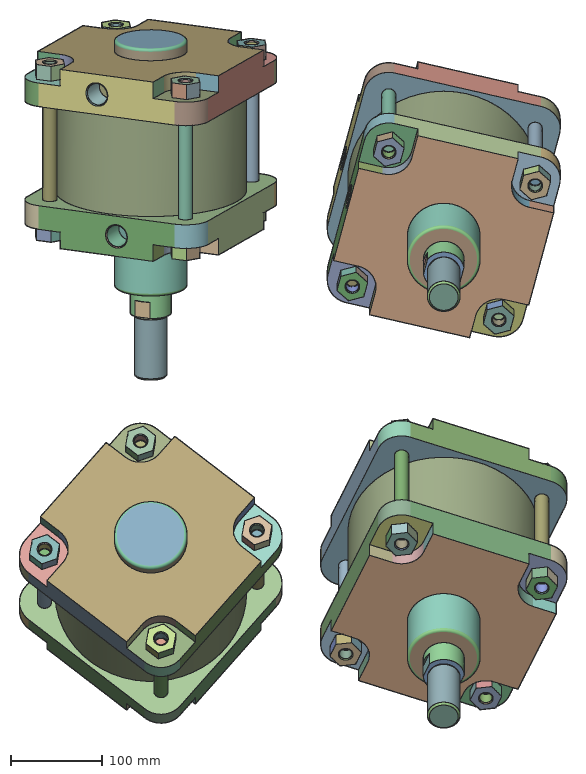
import cadquery as cq

TOTAL_HEIGHT = 384.0
END_BOSS_HEIGHT = 13.0
CAP_THICKNESS = 45.7
TUBE_LENGTH = 113.0
NECK_LENGTH = 64.5

REAR_CAP_TOP = TOTAL_HEIGHT - END_BOSS_HEIGHT
REAR_CAP_BOTTOM = REAR_CAP_TOP - CAP_THICKNESS
FRONT_CAP_TOP = REAR_CAP_BOTTOM - TUBE_LENGTH
FRONT_CAP_BOTTOM = FRONT_CAP_TOP - CAP_THICKNESS
NECK_BOTTOM = FRONT_CAP_BOTTOM - NECK_LENGTH

CAP_SIDE = 220.0
ROD_SPACING = 165.0
CORNER_RADIUS = (CAP_SIDE - ROD_SPACING) / 2
POCKET_SIDE = 53.5
POCKET_RADIUS = 26.0
POCKET_DEPTH = 19.0
BOSS_DIAMETER = 80.0
BOSS_FILLET = 3.0

PORT_DIAMETER = 24.0
PORT_CHAMFER = 1.0
PORT_DEPTH = 30.7
PORT_OFFSET = 12.0

TUBE_DIAMETER = 210.0
BORE_DIAMETER = 200.0

TIE_ROD_DIAMETER = 15.7
HEAD_ACROSS_FLATS = 30.5
HEAD_ACROSS_CORNERS = HEAD_ACROSS_FLATS * 2 / 3**0.5
HEAD_HEIGHT = 17.0
SOCKET_DIAMETER = 14.0
SOCKET_CHAMFER = 1.0

COLLAR_DIAMETER = 45.0
COLLAR_BOTTOM = 72.0
WRENCH_ACROSS_FLATS = 41.0
WRENCH_FLAT_HEIGHT = 18.5
GROOVE_DIAMETER = 33.0
THREAD_DIAMETER = 36.0
THREAD_LENGTH = 69.0
THREAD_CHAMFER = 2.3


def cylinder(diameter, bottom, top):
    """Upright cylinder on the Z axis between two heights."""
    return cq.Workplane("XY").workplane(offset=bottom).circle(diameter / 2).extrude(top - bottom)


def corner_points():
    """Centres of the four tie rods."""
    half = ROD_SPACING / 2
    return [(x, y) for x in (-half, half) for y in (-half, half)]


def cap_plate(bottom, pocket_bottom):
    """Square plate with rounded corners, a pocket at each corner and tie rod holes."""
    plate = (
        cq.Workplane("XY")
        .workplane(offset=bottom)
        .rect(CAP_SIDE, CAP_SIDE)
        .extrude(CAP_THICKNESS)
        .edges("|Z")
        .fillet(CORNER_RADIUS)
    )
    pockets = (
        cq.Workplane("XY")
        .workplane(offset=pocket_bottom)
        .rect(CAP_SIDE, CAP_SIDE, forConstruction=True)
        .vertices()
        .rect(2 * POCKET_SIDE, 2 * POCKET_SIDE)
        .extrude(POCKET_DEPTH)
        .edges("|Z")
        .fillet(POCKET_RADIUS)
    )
    rod_holes = (
        cq.Workplane("XY")
        .workplane(offset=bottom)
        .pushPoints(corner_points())
        .circle(TIE_ROD_DIAMETER / 2)
        .extrude(CAP_THICKNESS)
    )
    return plate.cut(pockets).cut(rod_holes)


def port_cutter(x, z):
    """Blind round port entering from the -Y face, with a chamfered mouth."""
    mouth = PORT_DIAMETER / 2 + PORT_CHAMFER
    return (
        cq.Workplane("XY")
        .polyline(
            [
                (0, 0),
                (mouth, 0),
                (PORT_DIAMETER / 2, PORT_CHAMFER),
                (PORT_DIAMETER / 2, PORT_DEPTH),
                (0, PORT_DEPTH),
            ]
        )
        .close()
        .revolve(360, (0, 0), (0, 1))
        .translate((x, -CAP_SIDE / 2, z))
    )


def make_rear_cap():
    """Upper cap with a short rounded boss."""
    boss = cylinder(BOSS_DIAMETER, REAR_CAP_TOP, TOTAL_HEIGHT).faces(">Z").fillet(BOSS_FILLET)
    port = port_cutter(-PORT_OFFSET, REAR_CAP_BOTTOM + CAP_THICKNESS / 2)
    return cap_plate(REAR_CAP_BOTTOM, REAR_CAP_TOP - POCKET_DEPTH).union(boss).cut(port)


def make_front_cap():
    """Lower cap with a long neck that guides the piston rod."""
    neck = cylinder(BOSS_DIAMETER, NECK_BOTTOM, FRONT_CAP_BOTTOM).faces("<Z").fillet(BOSS_FILLET)
    port = port_cutter(PORT_OFFSET, FRONT_CAP_BOTTOM + CAP_THICKNESS / 2)
    rod_hole = cylinder(COLLAR_DIAMETER, NECK_BOTTOM, FRONT_CAP_TOP)
    return cap_plate(FRONT_CAP_BOTTOM, FRONT_CAP_BOTTOM).union(neck).cut(port).cut(rod_hole)


def make_tube():
    """Cylinder tube clamped between the caps."""
    outside = cylinder(TUBE_DIAMETER, FRONT_CAP_TOP, REAR_CAP_BOTTOM)
    return outside.cut(cylinder(BORE_DIAMETER, FRONT_CAP_TOP, REAR_CAP_BOTTOM))


def make_tie_rod(x, y):
    """Tie rod with a hexagonal head at each end and a socket as deep as each head."""
    lower_seat = FRONT_CAP_BOTTOM + POCKET_DEPTH
    upper_seat = REAR_CAP_TOP - POCKET_DEPTH
    rod = cylinder(TIE_ROD_DIAMETER, lower_seat, upper_seat)
    for seat, direction in ((lower_seat, -1), (upper_seat, 1)):
        head = (
            cq.Workplane("XY")
            .workplane(offset=seat)
            .polygon(6, HEAD_ACROSS_CORNERS)
            .circle(SOCKET_DIAMETER / 2)
            .extrude(direction * HEAD_HEIGHT)
        )
        outer_face = ">Z" if direction > 0 else "<Z"
        head = head.faces(outer_face).edges("%CIRCLE").chamfer(SOCKET_CHAMFER)
        rod = rod.union(head)
    return rod.translate((x, y, 0))


def make_piston_rod():
    """Piston rod with wrench flats, a relief groove and a plain thread cylinder."""
    shaft = cylinder(COLLAR_DIAMETER, COLLAR_BOTTOM, FRONT_CAP_TOP)
    flats = (
        cq.Workplane("XY")
        .workplane(offset=COLLAR_BOTTOM)
        .rect(COLLAR_DIAMETER, COLLAR_DIAMETER)
        .rect(COLLAR_DIAMETER, WRENCH_ACROSS_FLATS)
        .extrude(WRENCH_FLAT_HEIGHT)
    )
    groove = cylinder(GROOVE_DIAMETER, THREAD_LENGTH, COLLAR_BOTTOM)
    thread = cylinder(THREAD_DIAMETER, 0, THREAD_LENGTH).faces("<Z").chamfer(THREAD_CHAMFER)
    return shaft.cut(flats).union(groove).union(thread)


rear_cap = make_rear_cap()
front_cap = make_front_cap()
tube = make_tube()
piston_rod = make_piston_rod()
tie_rods = [make_tie_rod(x, y) for x, y in corner_points()]

result = cq.Compound.makeCompound(
    [
        rear_cap.val(),
        front_cap.val(),
        tube.val(),
        piston_rod.val(),
        *[tie_rod.val() for tie_rod in tie_rods],
    ]
)